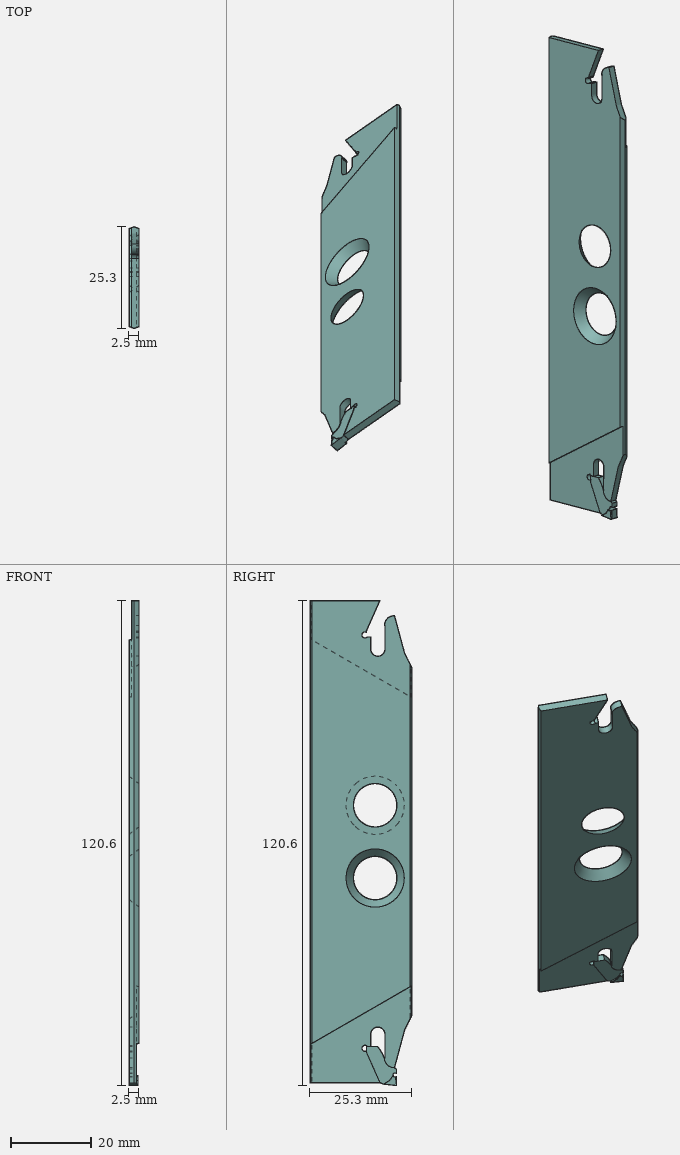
import cadquery as cq
import math

THICKNESS = 2.5
WIDTH = 25.3
TOP_Z = 60.3
BOTTOM_Z = -59.5
MID_Z = (TOP_Z + BOTTOM_Z) / 2
HALF_LENGTH = (TOP_Z - BOTTOM_Z) / 2
HALF_THICKNESS = THICKNESS / 2
HALF_WIDTH = WIDTH / 2
EDGE_BEVEL = 0.5

RELIEF_DEPTH = 0.66
RELIEF_LENGTH = 9.5
RELIEF_ANGLE = 30.0
END_FACE_X = HALF_THICKNESS - RELIEF_DEPTH

SMALL_DIAMETER = 10.7
LARGE_DIAMETER = 14.5
HOLE_Y = 3.5
HOLE_OFFSET = 9.0

CLAMP_TOP = (4.7, HALF_LENGTH)
CLAMP_BOTTOM = (1.3, 52.3)
SEAT_HEIGHT = 50.9
SEAT_RELIEF_RADIUS = 0.7
SEAT_RELIEF_CENTER = (1.0, 51.3)
SLOT_RIGHT_Y = 2.4
SLOT_WIDTH = 3.5
SLOT_LEFT_Y = SLOT_RIGHT_Y + SLOT_WIDTH
SLOT_RADIUS = SLOT_WIDTH / 2
SLOT_CENTER_HEIGHT = 47.9
FINGER_NECK = (5.8, 53.8)
FINGER_MIDDLE = (6.5, 55.5)
FINGER_TIP = (8.3, 56.2)
FLANK_BEND = (10.8, 46.8)
FLANK_START = (HALF_WIDTH, 43.1)
CLEARANCE = 1.2

INSERT_TOP_Y = 4.1
INSERT_SEAT_Y = 1.3
INSERT_BEND = (5.3, 52.7)
RAKE_Y = 8.8
RAKE_TOP = 56.5
CUTTING_HEIGHT = 60.3 + MID_Z
HEAD_STEP = 0.1
HEAD_MAX_X = 1.02
GROOVE_CENTER = (8.4, 58.0)
GROOVE_RADIUS = 0.5
HEAD_SHOULDER = (7.8, 58.2)
HEAD_INNER = (7.1, 59.3)
HEAD_HEEL = (5.5, CUTTING_HEIGHT - 0.4)


def lower(point):
    """Place a (y, height) point at the lower end of the blade."""
    y, height = point
    return (y, MID_Z - height)


def half_turn(body):
    """Swap the two ends of the blade by a half turn about its cross axis."""
    return body.rotate((0, 0, MID_Z), (0, 1, MID_Z), 180)


def plate(x_min, x_max):
    """Workplane parallel to YZ at x_min, with the thickness to extrude."""
    return cq.Workplane("YZ", origin=(x_min, 0, 0)), x_max - x_min


def bar():
    shoulder = HALF_WIDTH - EDGE_BEVEL
    return (
        cq.Workplane("XY", origin=(0, 0, BOTTOM_Z))
        .moveTo(-HALF_THICKNESS, -shoulder)
        .lineTo(0, -HALF_WIDTH)
        .lineTo(HALF_THICKNESS, -shoulder)
        .lineTo(HALF_THICKNESS, shoulder)
        .lineTo(0, HALF_WIDTH)
        .lineTo(-HALF_THICKNESS, shoulder)
        .close()
        .extrude(TOP_Z - BOTTOM_Z)
    )


def upper_relief():
    """Slanted end relief on the -X face at the upper end."""
    near_y = -HALF_WIDTH - CLEARANCE
    far_y = HALF_WIDTH + CLEARANCE
    slope = math.tan(math.radians(RELIEF_ANGLE))
    near_z = TOP_Z - RELIEF_LENGTH + CLEARANCE * slope
    far_z = near_z - (far_y - near_y) * slope
    plane, depth = plate(-HALF_THICKNESS - CLEARANCE, -END_FACE_X)
    top_z = TOP_Z + CLEARANCE
    outline = [(near_y, near_z), (near_y, top_z), (far_y, top_z), (far_y, far_z)]
    return plane.polyline(outline).close().extrude(depth)


def lower_pocket():
    """Opening that holds the insert, with its spring slot and tapered flank."""
    plane, depth = plate(-THICKNESS, THICKNESS)
    beyond = HALF_LENGTH + CLEARANCE
    pocket = (
        plane.moveTo(*lower(CLAMP_TOP))
        .lineTo(*lower(CLAMP_BOTTOM))
        .lineTo(*lower((CLAMP_BOTTOM[0], SEAT_HEIGHT)))
        .lineTo(*lower((SLOT_RIGHT_Y, SEAT_HEIGHT)))
        .lineTo(*lower((SLOT_RIGHT_Y, SLOT_CENTER_HEIGHT)))
        .threePointArc(
            lower((SLOT_RIGHT_Y + SLOT_RADIUS, SLOT_CENTER_HEIGHT - SLOT_RADIUS)),
            lower((SLOT_LEFT_Y, SLOT_CENTER_HEIGHT)),
        )
        .lineTo(*lower((SLOT_LEFT_Y, FINGER_NECK[1])))
        .lineTo(*lower(FINGER_NECK))
        .threePointArc(lower(FINGER_MIDDLE), lower(FINGER_TIP))
        .lineTo(*lower(FLANK_BEND))
        .lineTo(*lower(FLANK_START))
        .lineTo(*lower((HALF_WIDTH + CLEARANCE, FLANK_START[1])))
        .lineTo(*lower((HALF_WIDTH + CLEARANCE, beyond)))
        .lineTo(*lower((CLAMP_TOP[0], beyond)))
        .close()
        .extrude(depth)
    )
    corner_relief = (
        plane.center(*lower(SEAT_RELIEF_CENTER)).circle(SEAT_RELIEF_RADIUS).extrude(depth)
    )
    return pocket.union(corner_relief)


def upper_hole():
    """Conical through hole, wide at the -X face."""
    return (
        cq.Workplane("YZ", origin=(-HALF_THICKNESS, HOLE_Y, MID_Z + HOLE_OFFSET))
        .circle(LARGE_DIAMETER / 2)
        .workplane(offset=THICKNESS)
        .circle(SMALL_DIAMETER / 2)
        .loft()
    )


def make_blade():
    blade = bar()
    for cutter in (upper_relief(), lower_pocket(), upper_hole()):
        blade = blade.cut(cutter).cut(half_turn(cutter))
    return blade


def make_insert():
    plane, depth = plate(-HALF_THICKNESS + HEAD_STEP, END_FACE_X)
    body = (
        plane.moveTo(*lower((INSERT_SEAT_Y, SEAT_HEIGHT)))
        .lineTo(*lower((INSERT_TOP_Y, SEAT_HEIGHT)))
        .threePointArc(lower(INSERT_BEND), lower(FINGER_NECK))
        .threePointArc(lower(FINGER_MIDDLE), lower(FINGER_TIP))
        .lineTo(*lower((RAKE_Y, RAKE_TOP)))
        .lineTo(*lower((RAKE_Y, CUTTING_HEIGHT)))
        .lineTo(*lower(HEAD_HEEL))
        .lineTo(*lower(CLAMP_TOP))
        .lineTo(*lower(CLAMP_BOTTOM))
        .close()
        .extrude(depth)
    )
    head_plane, head_width = plate(-HALF_THICKNESS, HEAD_MAX_X)
    head_outline = [
        lower(GROOVE_CENTER),
        lower(HEAD_SHOULDER),
        lower(HEAD_INNER),
        lower(HEAD_HEEL),
        lower((RAKE_Y, CUTTING_HEIGHT)),
    ]
    head = head_plane.polyline(head_outline).close().extrude(head_width)
    chip_groove = (
        head_plane.center(*lower(GROOVE_CENTER)).circle(GROOVE_RADIUS).extrude(head_width)
    )
    return body.union(head).cut(chip_groove)


blade = make_blade()
insert = make_insert()

result = cq.Compound.makeCompound([blade.val(), insert.val()])